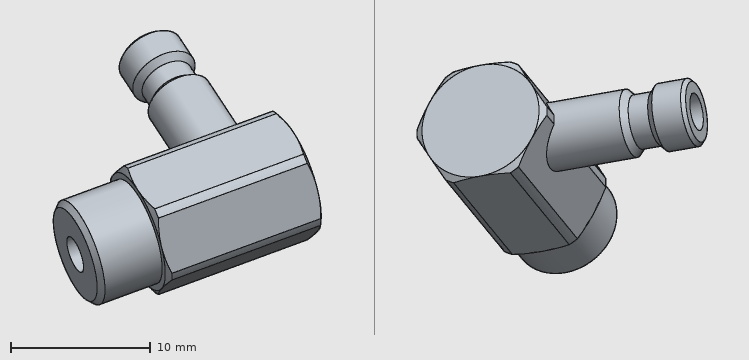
import cadquery as cq
import math

ACROSS_FLATS = 9.0
CORNER_RADIUS = 5.0
BODY_LENGTH = 12.5
SPIGOT_TO_BACK = 4.25
END_CHAMFER_ANGLE = 30.0

STEM_RADIUS = 4.0
STEM_LENGTH = 5.0
STEM_CHAMFER = 0.42

SPIGOT_REACH = 15.0
SPIGOT_RADIUS = 2.5
TIP_CHAMFER = 0.28
NECK_RADIUS = 2.0
GROOVE_START = 2.5
GROOVE_WIDTH = 2.5

BORE_RADIUS = 1.35

BACK_Y = SPIGOT_TO_BACK
SHOULDER_Y = BACK_Y - BODY_LENGTH
FRONT_Y = SHOULDER_Y - STEM_LENGTH
TIP_X = -SPIGOT_REACH


def make_body():
    """Hexagonal bar with turned corners and chamfered ends."""
    flat_radius = ACROSS_FLATS / 2
    corner_to_corner = ACROSS_FLATS / math.cos(math.pi / 6)
    chamfer_depth = (CORNER_RADIUS - flat_radius) * math.tan(math.radians(END_CHAMFER_ANGLE))
    hexagon = (
        cq.Workplane("XZ", origin=(0, BACK_Y, 0))
        .polygon(6, corner_to_corner)
        .extrude(BODY_LENGTH)
    )
    turned_envelope = (
        cq.Workplane("XY")
        .moveTo(0, BACK_Y)
        .lineTo(flat_radius, BACK_Y)
        .lineTo(CORNER_RADIUS, BACK_Y - chamfer_depth)
        .lineTo(CORNER_RADIUS, SHOULDER_Y + chamfer_depth)
        .lineTo(flat_radius, SHOULDER_Y)
        .lineTo(0, SHOULDER_Y)
        .close()
        .revolve(360, (0, 0, 0), (0, 1, 0))
    )
    return hexagon.intersect(turned_envelope)


def make_stem():
    """Round stem with a chamfered front edge."""
    return (
        cq.Workplane("XZ", origin=(0, SHOULDER_Y, 0))
        .circle(STEM_RADIUS)
        .extrude(STEM_LENGTH)
        .faces("<Y")
        .chamfer(STEM_CHAMFER)
    )


def make_spigot():
    """Turned spigot with a groove that has 45 degree sides."""
    taper = SPIGOT_RADIUS - NECK_RADIUS
    groove_x = TIP_X + GROOVE_START
    groove_end_x = groove_x + GROOVE_WIDTH
    return (
        cq.Workplane("XY")
        .moveTo(TIP_X, 0)
        .lineTo(TIP_X, SPIGOT_RADIUS - TIP_CHAMFER)
        .lineTo(TIP_X + TIP_CHAMFER, SPIGOT_RADIUS)
        .lineTo(groove_x, SPIGOT_RADIUS)
        .lineTo(groove_x + taper, NECK_RADIUS)
        .lineTo(groove_end_x - taper, NECK_RADIUS)
        .lineTo(groove_end_x, SPIGOT_RADIUS)
        .lineTo(0, SPIGOT_RADIUS)
        .lineTo(0, 0)
        .close()
        .revolve(360, (0, 0, 0), (1, 0, 0))
    )


def make_passage():
    """Two equal bores whose axes cross at the origin."""
    spigot_bore = (
        cq.Workplane("YZ", origin=(TIP_X, 0, 0))
        .circle(BORE_RADIUS)
        .extrude(SPIGOT_REACH)
    )
    stem_bore = (
        cq.Workplane("XZ", origin=(0, BORE_RADIUS, 0))
        .circle(BORE_RADIUS)
        .extrude(BORE_RADIUS - FRONT_Y)
    )
    return spigot_bore.union(stem_bore)


result = make_body().union(make_stem()).union(make_spigot()).cut(make_passage())